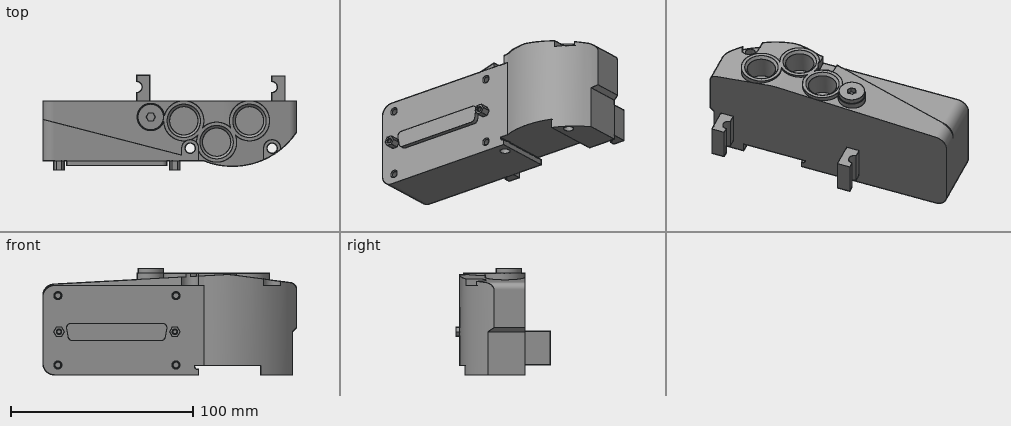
import cadquery as cq
import math


length = 139.2
depth = 33.0
deck_height = 49.1
corner_radius = 6.5
nose_radius = 4.0

left_top_height = 49.55
left_slope = 0.0545
right_slope = 0.132
blend_start = 99.5
blend_end = 104.7

bulge_height = 3.0
bulge_center_x = 104.0
bulge_radius = 42.2
face_setback = 0.3

wall_left_y = 22.8
wall_right_y = 3.2

relief_depth = 2.3
relief_bottom = 23.7

rail_left = 83.2
rail_right = 119.4
rail_depth = 5.1
lip_length = 2.2
lip_height = 3.2
lip_bevel_run = 0.9
lip_bevel_rise = 1.2

port_centers = [(77.3, 22.0), (95.3, 10.3), (113.3, 22.0)]
port_boss_diameter = 22.0
port_diameter = 15.5
port_depth = 14.0
port_chamfer = 1.4
boss_top = 55.8
boss_root = 45.0

plug_center = (59.2, 24.1)
plug_boss_diameter = 15.0
plug_diameter = 14.0
plug_top = 58.5
plug_hex_flats = 4.4
plug_hex_depth = 3.0

screw_centers = [(80.8, 7.0), (125.7, 7.0)]
screw_diameter = 5.5
recess_width = 9.3

plate_hole_x = (8.3, 73.0)
plate_hole_z = (5.5, 43.5)
plate_hole_diameter = 3.2
plate_hole_chamfer = 0.6
plate_hole_depth = 6.0
post_x = (8.9, 72.4)
post_z = 23.7
post_flats = 5.0
post_length = 5.0
post_hole_diameter = 2.2
post_hole_chamfer = 0.4
post_hole_depth = 4.0
connector_left = 12.6
connector_right = 68.5
connector_bottom = 18.9
connector_top = 28.3
connector_height = 2.6
connector_side_angle = 10.0
connector_radius = 2.4

hooks = [(51.4, 14.0), (125.5, 13.6)]
hook_width = 7.3
hook_bottom = 5.5
hook_top = 24.0
hook_notch_y = 40.5
hook_notch_radius = 3.0

bulge_center_y = bulge_radius - bulge_height
recess_radius = recess_width / 2
recess_left = screw_centers[0][0] - recess_radius
recess_right = screw_centers[0][0] + recess_radius


def hex_diameter(flats):
    """Corner-to-corner size of a hexagon from its width across flats."""
    return flats / math.cos(math.pi / 6)


def bulge_left_x(y):
    """X where the bulge arc meets the given Y on its left side."""
    return bulge_center_x - math.sqrt(bulge_radius**2 - (bulge_center_y - y) ** 2)


def bulge_y(x):
    """Y of the bulge arc at the given X."""
    return bulge_center_y - math.sqrt(bulge_radius**2 - (x - bulge_center_x) ** 2)


def edge_near(x, z):
    """Selector for the lengthwise edge closest to a point of the side profile."""
    return cq.selectors.NearestToPointSelector((x, depth / 2, z))


def along_y(profile):
    """Extrude a side profile through the body depth, past the bulge."""
    return profile.close().extrude(-(depth + bulge_height)).translate((0, -bulge_height, 0))


def ridged_block():
    """Tall prism with the two-slope top, trimmed to the raised plan outline."""
    rise_end = left_top_height + left_slope * blend_start
    half_run = (blend_end - blend_start) / 2
    fall_start = rise_end + (left_slope - right_slope) * half_run
    fall_end = fall_start - right_slope * (length - blend_end)
    profile = (
        cq.Workplane("XZ")
        .lineTo(length, 0)
        .lineTo(length, fall_end)
        .lineTo(blend_end, fall_start)
        .threePointArc(
            (
                (blend_start + blend_end) / 2,
                (rise_end + fall_start) / 2 + (left_slope + right_slope) * half_run / 4,
            ),
            (blend_start, rise_end),
        )
        .lineTo(0, left_top_height)
    )
    block = along_y(profile)
    block = block.edges("|Y").edges(edge_near(0, left_top_height)).fillet(corner_radius)
    block = block.edges("|Y").edges(edge_near(length, fall_end)).fillet(nose_radius)
    outline = (
        cq.Workplane("XY")
        .moveTo(0, depth)
        .lineTo(0, wall_left_y)
        .lineTo(recess_left, wall_right_y)
        .lineTo(recess_right, face_setback)
        .lineTo(bulge_left_x(0), 0)
        .threePointArc((bulge_center_x, -bulge_height), (length, bulge_y(length)))
        .lineTo(length, depth)
        .close()
        .extrude(plug_top)
    )
    return block.intersect(outline)


def deck_block():
    """Lower block carrying the connector face."""
    block = cq.Workplane("XY").box(bulge_left_x(0), depth, deck_height, centered=False)
    return block.edges("|Y").edges(edge_near(0, deck_height)).fillet(corner_radius)


def end_relief():
    """Cutter for the stepped-back lower right end with its 45 degree edge."""
    return along_y(
        cq.Workplane("XZ")
        .moveTo(length - relief_depth, 0)
        .lineTo(length - relief_depth, relief_bottom)
        .lineTo(length, relief_bottom + relief_depth)
        .lineTo(length, 0)
    )


def rail_slot():
    """Cutter for the rail slot with a gripping lip at its left side."""
    return along_y(
        cq.Workplane("XZ")
        .moveTo(rail_left + lip_length, 0)
        .lineTo(rail_left + lip_length, lip_height)
        .lineTo(rail_left + lip_bevel_run, lip_height)
        .lineTo(rail_left, lip_height + lip_bevel_rise)
        .lineTo(rail_left, rail_depth)
        .lineTo(rail_right, rail_depth)
        .lineTo(rail_right, 0)
    )


def upright_cylinder(center, diameter, bottom, top):
    return cq.Workplane("XY", origin=(*center, bottom)).circle(diameter / 2).extrude(top - bottom)


def port_bore(center):
    """Blind port bore with a conical mouth."""
    bore = upright_cylinder(center, port_diameter, boss_top - port_depth, boss_top)
    mouth = (
        cq.Workplane("XY", origin=(*center, boss_top))
        .circle(port_diameter / 2 + port_chamfer)
        .extrude(-port_chamfer, taper=45)
    )
    return bore.union(mouth)


def screw_cut(center):
    """Through hole with a round-ended recess open to the front."""
    x, y = center
    hole = upright_cylinder(center, screw_diameter, 0, plug_top)
    recess = upright_cylinder(center, recess_width, deck_height, plug_top)
    front_length = y + bulge_height
    opening = cq.Workplane("XY", origin=(x, y - front_length / 2, deck_height)).box(
        recess_width, front_length, plug_top - deck_height, centered=(True, True, False)
    )
    return hole.union(recess).union(opening)


def plug():
    """Plug head standing on its boss, with a hexagon socket."""
    boss = upright_cylinder(plug_center, plug_boss_diameter, boss_root, boss_top)
    head = upright_cylinder(plug_center, plug_diameter, boss_top, plug_top)
    socket = (
        cq.Workplane("XY", origin=(*plug_center, plug_top))
        .polygon(6, hex_diameter(plug_hex_flats))
        .extrude(-plug_hex_depth)
    )
    return boss.union(head).cut(socket)


def front_hole(x, y, z, diameter, chamfer, hole_depth):
    """Blind hole running +Y from a front-facing surface, with a conical mouth."""
    start = cq.Workplane("XZ", origin=(x, y, z))
    bore = start.circle(diameter / 2).extrude(-hole_depth)
    mouth = start.circle(diameter / 2 + chamfer).extrude(-chamfer, taper=45)
    return bore.union(mouth)


def hex_post(x):
    """Hexagonal jack post with a hole in its end."""
    post = (
        cq.Workplane("XZ", origin=(x, 0, post_z))
        .polygon(6, hex_diameter(post_flats))
        .extrude(post_length)
    )
    hole = front_hole(x, -post_length, post_z, post_hole_diameter, post_hole_chamfer, post_hole_depth)
    return post.cut(hole)


def connector():
    """D-shaped connector shell."""
    inset = (connector_top - connector_bottom) * math.tan(math.radians(connector_side_angle))
    return (
        cq.Workplane("XZ")
        .moveTo(connector_left, connector_top)
        .lineTo(connector_right, connector_top)
        .lineTo(connector_right - inset, connector_bottom)
        .lineTo(connector_left + inset, connector_bottom)
        .close()
        .extrude(connector_height)
        .edges("|Y")
        .fillet(connector_radius)
    )


def hook(left, reach):
    """Rear hook with a round notch in its left side."""
    height = hook_top - hook_bottom
    arm = cq.Workplane("XY", origin=(left, depth, hook_bottom)).box(
        hook_width, reach, height, centered=False
    )
    notch = upright_cylinder((left, hook_notch_y), 2 * hook_notch_radius, hook_bottom, hook_top)
    return arm.cut(notch)


body = ridged_block().union(deck_block())
body = body.edges("|Y").edges(edge_near(0, 0)).fillet(corner_radius)
body = body.cut(end_relief()).cut(rail_slot())

for port_center in port_centers:
    body = body.union(upright_cylinder(port_center, port_boss_diameter, boss_root, boss_top))
body = body.union(plug())
for port_center in port_centers:
    body = body.cut(port_bore(port_center))
for screw_center in screw_centers:
    body = body.cut(screw_cut(screw_center))

for hole_x in plate_hole_x:
    for hole_z in plate_hole_z:
        body = body.cut(
            front_hole(hole_x, 0, hole_z, plate_hole_diameter, plate_hole_chamfer, plate_hole_depth)
        )
for x in post_x:
    body = body.union(hex_post(x))
body = body.union(connector())

for hook_left, hook_reach in hooks:
    body = body.union(hook(hook_left, hook_reach))

result = body